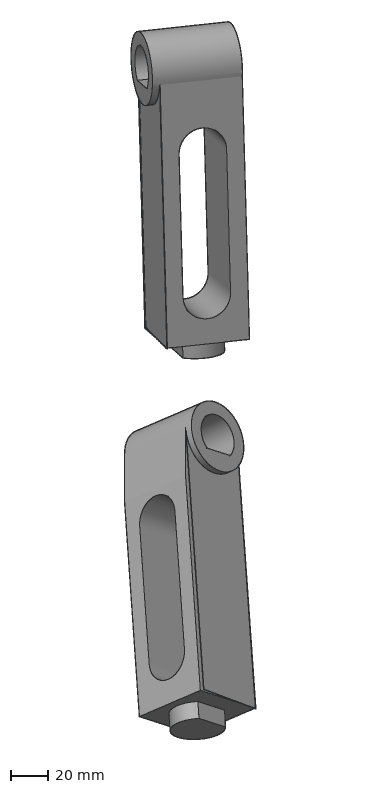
import cadquery as cq
import math

hub_radius = 20.1
hub_length = 50.6
bore_radius = 12.6
bore_flat_drop = 9.0

lean = 5.2
arm_depth = 46.5
arm_bottom = 151.8
arm_left = 22.6
arm_right = 19.5

facing_thickness = 0.4
facing_left_bottom = (-6.4, -151.8)
facing_right_bottom = (33.5, -149.8)

slot_width = 26.7
slot_top = 31.0
slot_bottom = 137.7

spigot_radius = 15.0
spigot_length = 9.9
spigot_flat_drop = 11.0
spigot_offset = -2.2
overlap = 1.8

hub_back = hub_length / 2
arm_front = hub_back - arm_depth
arm_middle = hub_back - arm_depth / 2


def lean_body(body):
    """Turn an upright body about the hub axis to the arm's lean."""
    return body.rotate((0, 0, 0), (0, 1, 0), -lean)


def leaning_point(across, along):
    """X and Z of a point given across and down the leaning arm."""
    angle = math.radians(lean)
    x = across * math.cos(angle) + along * math.sin(angle)
    z = across * math.sin(angle) - along * math.cos(angle)
    return (x, z)


def plate(points, front, thickness):
    """Extrude an X-Z outline towards +Y from its front plane."""
    outline = cq.Workplane("XZ", origin=(0, front, 0)).polyline(points).close()
    return outline.extrude(-thickness)


def make_hub():
    return cq.Workplane("XZ", origin=(0, hub_back, 0)).circle(hub_radius).extrude(hub_length)


def make_bore():
    bore = cq.Workplane("XZ", origin=(0, hub_back, 0)).circle(bore_radius).extrude(hub_length)
    keep = cq.Workplane("XY").box(
        2 * bore_radius, hub_length, 2 * bore_radius
    ).translate((0, 0, bore_radius - bore_flat_drop))
    return lean_body(bore.intersect(keep))


def make_arm():
    angle = math.radians(lean)
    bend_z = -(arm_left / math.cos(angle) - hub_radius) / math.tan(angle)
    outline = [
        (-hub_radius, 0),
        (-hub_radius, bend_z),
        leaning_point(-arm_left, arm_bottom),
        leaning_point(arm_right, arm_bottom),
        leaning_point(arm_right, 0),
        (0, 0),
    ]
    return plate(outline, arm_front + facing_thickness, arm_depth - facing_thickness)


def make_facing():
    outline = [
        leaning_point(-hub_radius, 0),
        facing_left_bottom,
        facing_right_bottom,
        leaning_point(arm_right, 0),
    ]
    return plate(outline, arm_front, facing_thickness)


def make_slot():
    slot = (
        cq.Workplane("YZ")
        .center(arm_middle, -(slot_top + slot_bottom) / 2)
        .slot2D(slot_bottom - slot_top, slot_width, 90)
        .extrude(2 * arm_left, both=True)
    )
    return lean_body(slot)


def make_spigot():
    length = spigot_length + overlap
    top = -arm_bottom + overlap
    peg = cq.Workplane("XY", origin=(spigot_offset, 0, top)).circle(spigot_radius).extrude(-length)
    keep = cq.Workplane("XY").box(
        2 * spigot_radius, 2 * spigot_radius, length
    ).translate((spigot_offset, spigot_radius - spigot_flat_drop, top - length / 2))
    return lean_body(peg.intersect(keep)).translate((0, arm_middle, 0))


result = (
    make_hub()
    .union(make_arm())
    .union(make_facing())
    .union(make_spigot())
    .cut(make_bore())
    .cut(make_slot())
)